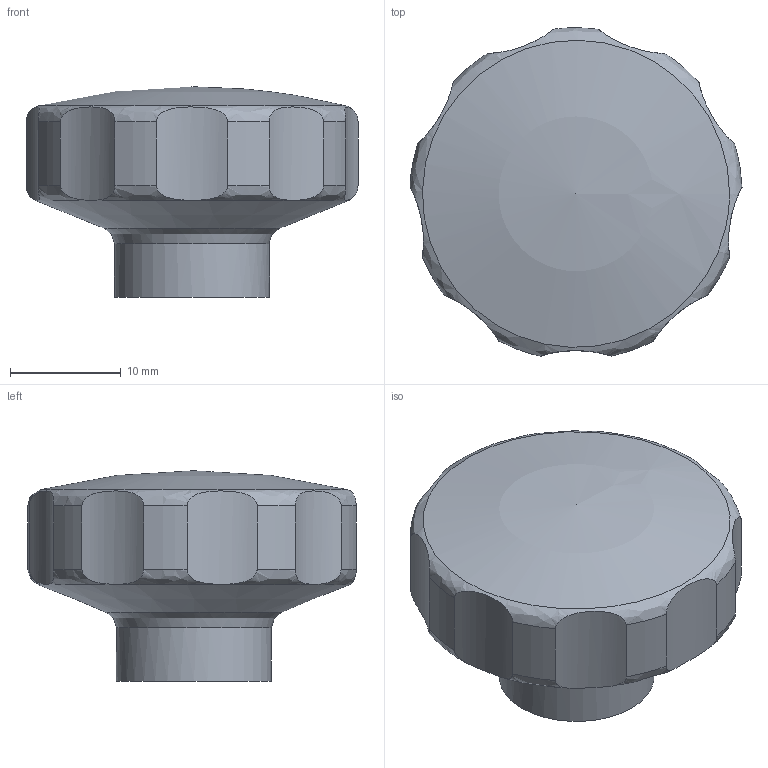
import cadquery as cq
import math

HEAD_RADIUS = 15.0
STEM_RADIUS = 7.0
TOTAL_HEIGHT = 19.0
DOME_RADIUS = 57.0
CONE_ANGLE = 22.0
STEM_CORNER_HEIGHT = 5.85
ROUNDING = 1.5
FLUTE_COUNT = 9
FLUTE_RADIUS = 10.5
FLUTE_FLOOR = 14.15
FIRST_FLUTE_ANGLE = -90.0


def dome_height(radius):
    """Height of the spherical crown at a distance from the axis."""
    drop = DOME_RADIUS - math.sqrt(DOME_RADIUS**2 - radius**2)
    return TOTAL_HEIGHT - drop


cone_rise = (HEAD_RADIUS - STEM_RADIUS) * math.tan(math.radians(CONE_ANGLE))
rim_bottom = STEM_CORNER_HEIGHT + cone_rise
rim_top = dome_height(HEAD_RADIUS)


def make_body():
    """Turned knob: stem, conical underside, cylindrical rim and domed top."""
    half_radius = HEAD_RADIUS / 2
    profile = (
        cq.Workplane("XZ")
        .lineTo(STEM_RADIUS, 0)
        .lineTo(STEM_RADIUS, STEM_CORNER_HEIGHT)
        .lineTo(HEAD_RADIUS, rim_bottom)
        .lineTo(HEAD_RADIUS, rim_top)
        .threePointArc((half_radius, dome_height(half_radius)), (0, TOTAL_HEIGHT))
        .close()
    )
    body = profile.revolve(360, (0, 0, 0), (0, 1, 0))
    corners = cq.selectors.BoxSelector(
        (-HEAD_RADIUS, -HEAD_RADIUS, STEM_CORNER_HEIGHT / 2),
        (HEAD_RADIUS, HEAD_RADIUS, rim_top + ROUNDING / 2),
    )
    return body.edges("%CIRCLE").edges(corners).fillet(ROUNDING)


def make_flutes():
    """Vertical cylinders that cut the finger grooves around the rim."""
    return (
        cq.Workplane("XY")
        .polarArray(FLUTE_FLOOR + FLUTE_RADIUS, FIRST_FLUTE_ANGLE, 360, FLUTE_COUNT)
        .circle(FLUTE_RADIUS)
        .extrude(TOTAL_HEIGHT)
    )


result = make_body().cut(make_flutes())